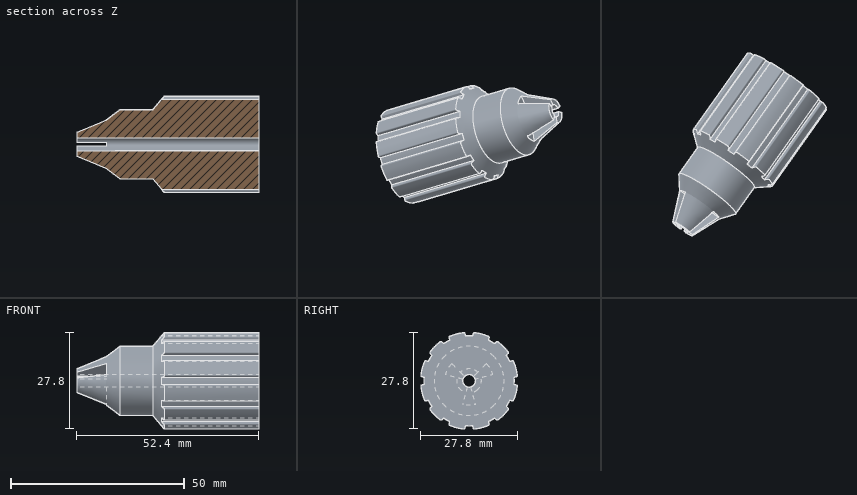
import cadquery as cq
import math

total_length = 52.4
nose_length = 8.45
collar_start = 12.35
collar_end = 21.8
grip_start = 25.15

bore_radius = 1.8
tip_radius = 3.5
nose_base_radius = 7.0
collar_radius = 10.0
grip_radius = 14.0

jaw_count = 3
jaw_slot_half_angle = math.radians(15)

groove_count = 12
groove_floor_width = 2.0
groove_wall_flare = math.radians(15)
groove_floor_radius = 13.0
groove_edge_round = 0.4


def yz_plane(x):
    """Sketch plane normal to the part axis, local axes along +Y and +Z."""
    return cq.Workplane("YZ", origin=(x, 0, 0))


def make_body():
    """Stepped body of revolution about the X axis."""
    profile = [
        (0, 0),
        (0, tip_radius),
        (nose_length, nose_base_radius),
        (collar_start, collar_radius),
        (collar_end, collar_radius),
        (grip_start, grip_radius),
        (total_length, grip_radius),
        (total_length, 0),
    ]
    return cq.Workplane("XY").polyline(profile).close().revolve(360, (0, 0, 0), (1, 0, 0))


def make_jaw_slot():
    """Radial wedge below the axis, as deep as the nose cone."""
    reach = 2 * nose_base_radius
    half_width = reach * math.tan(jaw_slot_half_angle)
    wedge = [(0, 0), (-half_width, -reach), (half_width, -reach)]
    return yz_plane(0).polyline(wedge).close().extrude(nose_length)


def from_top(radius, angle):
    """Point in the YZ plane at a radius from the axis and an angle from +Z toward +Y."""
    return (radius * math.sin(angle), radius * math.cos(angle))


def mirrored(point):
    """Point reflected to the other side of the Z axis."""
    return (-point[0], point[1])


def make_groove():
    """Groove along the top of the grip with flared walls and rounded tooth edges."""
    half_width = groove_floor_width / 2
    floor_corner = (half_width, math.sqrt(groove_floor_radius**2 - half_width**2))

    wall_normal = (math.cos(groove_wall_flare), -math.sin(groove_wall_flare))
    wall_distance = floor_corner[0] * wall_normal[0] + floor_corner[1] * wall_normal[1]

    center_radius = grip_radius - groove_edge_round
    rim_angle = groove_wall_flare + math.asin((wall_distance + groove_edge_round) / center_radius)
    center = from_top(center_radius, rim_angle)
    wall_end = (
        center[0] - groove_edge_round * wall_normal[0],
        center[1] - groove_edge_round * wall_normal[1],
    )
    toward_wall_angle = groove_wall_flare - math.pi / 2
    to_middle = from_top(groove_edge_round, (toward_wall_angle + rim_angle) / 2)
    arc_middle = (center[0] + to_middle[0], center[1] + to_middle[1])

    rim = from_top(grip_radius, rim_angle)
    clear_of_rim = from_top(grip_radius + groove_edge_round, rim_angle)
    return (
        yz_plane(collar_start)
        .moveTo(*mirrored(floor_corner))
        .threePointArc((0, groove_floor_radius), floor_corner)
        .lineTo(*wall_end)
        .threePointArc(arc_middle, rim)
        .lineTo(*clear_of_rim)
        .lineTo(*mirrored(clear_of_rim))
        .lineTo(*mirrored(rim))
        .threePointArc(mirrored(arc_middle), mirrored(wall_end))
        .close()
        .extrude(total_length - collar_start)
    )


def cut_around_axis(body, cutter, count):
    """Cut equally spaced copies of the cutter around the X axis."""
    for index in range(count):
        angle = 360 * index / count
        body = body.cut(cutter.rotate((0, 0, 0), (1, 0, 0), angle))
    return body


result = make_body()
result = result.cut(yz_plane(0).circle(bore_radius).extrude(total_length))
result = cut_around_axis(result, make_jaw_slot(), jaw_count)
result = cut_around_axis(result, make_groove(), groove_count)